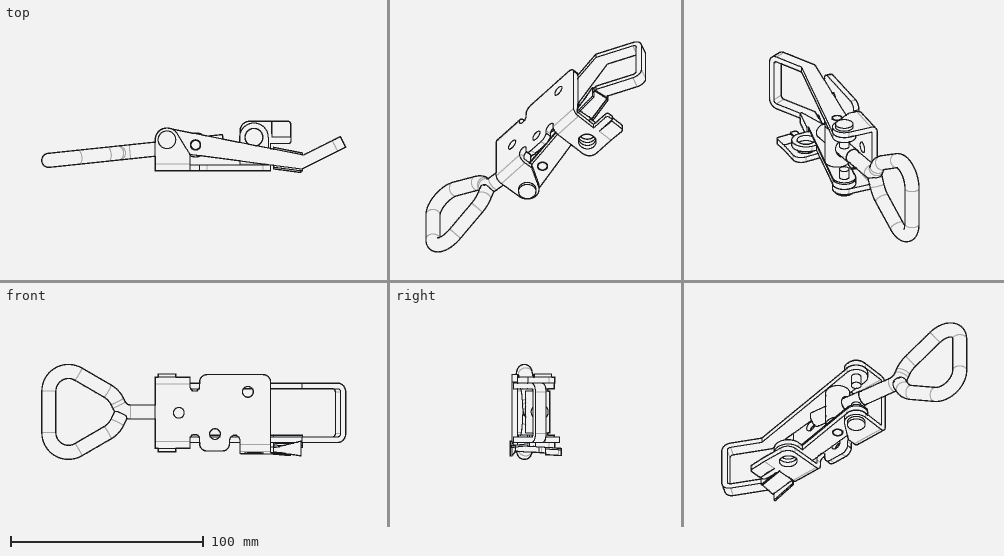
import cadquery as cq
import math


SHEET = 3.0
PIVOT_Y = 16.1
PIN_RADIUS = 2.5
PIN_LENGTH = 11.7
PIN_HEAD_RADIUS = 4.6
PIN_HEAD_HEIGHT = 1.7

REACH = 79.0

EAR_RADIUS = 6.2
EAR_LENGTH = 18.2
EAR_HALF_WIDTH = 18.5
EAR_SHOULDER_Y = 8.4
BASE_LENGTH = 60.0
BASE_HALF_WIDTH = 19.9
BEND_RADIUS = 3.6
PLATE_CORNER = 4.0
NOTCH_WIDTH = 4.9
NOTCH_FLOOR_Z = 11.2
TAB_NOTCH_WIDTH = 5.4
TAB_NOTCH_FLOOR_Z = 11.7
LOBE_LENGTH = 15.6
SCREW_RADIUS = 2.76
SCREW_HOLES = [(6.2, 0.0), (25.0, -11.0), (42.0, 10.9)]
BASE_START = -EAR_RADIUS
EAR_END = BASE_START + EAR_LENGTH
BASE_END = BASE_START + BASE_LENGTH
LOBE_START = EAR_END + NOTCH_WIDTH
LOBE_END = LOBE_START + LOBE_LENGTH
TAB_START = LOBE_END + TAB_NOTCH_WIDTH

TAB_BEND_ANGLE = 86.5
TAB_FOOT_Z = -16.5
TAB_TOP_Y = 25.7
TAB_CORNER = 5.0
TAB_ARM_LENGTH = 10.6
TAB_ARM_BOTTOM_Y = 14.0
TAB_ARM_CORNER = 1.5
FLAP_BOTTOM_Y = 17.5
FLAP_OFFSET = 0.6
FLAP_ANGLE = 5.0

EYE_X = 45.2
EYE_Y = 17.4
EYE_RADIUS = 4.6
LUG_RADIUS = 7.5

LEVER_END_RADIUS = 6.0
LEVER_HALF_WIDTH = EAR_HALF_WIDTH - SHEET
KNEE_TOP = (70.9, 8.2)
KNEE_BOTTOM = (70.1, 0.87)
HANDLE_ANGLE = 26.6
HANDLE_LENGTH = 25.5
HANDLE_CORNER = 4.7
HANDLE_INNER_CORNER = 1.7

BARREL_X = 14.8
BARREL_Y = 13.5
ROD_Z = 0.5
BARREL_RADIUS = 6.3
BARREL_LENGTH = 21.6
JOURNAL_RADIUS = 2.4
JOURNAL_HOLE_RADIUS = 2.7
COUNTERSINK_RADIUS = 5.2
COUNTERSINK_HALF_ANGLE = 45.0

ROD_RADIUS = 3.71
STUD_RADIUS = 4.0
STUD_START = -15.8
ROD_TILT = 6.0
STUD_END = 14.5
LOOP_REACH = 76.6
LOOP_STRAIGHT = 21.5
LOOP_CORNER = 10.3
LOOP_SLOPE = 30.0
NECK_REACH = 38.2
NECK_SLOPE = 64.0
LOWER_NECK_GAP = 1.0
NECK_OUTER_BEND = 12.6
NECK_INNER_BEND = 6.3

CATCH_SHEET = 1.0
CATCH_START = 55.5
CATCH_END = 70.5
WING_END = 69.7
SLANT_START_Y = 3.5
LEG_TOP_Y = 14.0
LEG_LEAN = 1.7
WING_ROOT_TOP_Z = -18.2
WING_ROOT_Z = -20.2
WING_TIP_TOP_Z = -14.7
WING_TIP_Z = -22.5


def tangent_point(center, radius, point, side):
    """Point where a line from `point` touches a circle; side is +1 or -1."""
    dx = point[0] - center[0]
    dy = point[1] - center[1]
    angle = math.atan2(dy, dx) + side * math.acos(radius / math.hypot(dx, dy))
    return (center[0] + radius * math.cos(angle), center[1] + radius * math.sin(angle))


def cylinder(x, y, radius, z_low, z_high):
    return cq.Workplane("XY", origin=(x, y, z_low)).circle(radius).extrude(z_high - z_low)


def block(x_range, y_range, z_range):
    size = [high - low for low, high in (x_range, y_range, z_range)]
    corner = (x_range[0], y_range[0], z_range[0])
    return cq.Workplane("XY", origin=corner).box(*size, centered=False)


def base_plate():
    plate = block((LOBE_START, BASE_END), (0, SHEET), (0, BASE_HALF_WIDTH))
    plate = plate.edges("|Y and >Z").fillet(PLATE_CORNER)
    lobe = block((LOBE_START, LOBE_END), (0, SHEET), (-BASE_HALF_WIDTH, 0))
    lobe = lobe.edges("|Y and <Z").fillet(PLATE_CORNER)
    bridge = block((EAR_END, BASE_END), (0, SHEET), (TAB_FOOT_Z, NOTCH_FLOOR_Z + NOTCH_WIDTH))
    plate = plate.union(lobe).union(bridge)
    notches = [
        (EAR_END, NOTCH_WIDTH, 1, NOTCH_FLOOR_Z),
        (EAR_END, NOTCH_WIDTH, -1, NOTCH_FLOOR_Z),
        (LOBE_END, TAB_NOTCH_WIDTH, -1, TAB_NOTCH_FLOOR_Z),
    ]
    for start, width, side, floor in notches:
        length = BASE_HALF_WIDTH
        center = (start + width / 2, 0, side * (floor + length / 2))
        slot = cq.Workplane("XZ", origin=center).slot2D(length, width, 90).extrude(-SHEET)
        plate = plate.cut(slot)
    return plate


def ear_channel():
    half = EAR_HALF_WIDTH
    inner = half - SHEET
    channel = block((BASE_START, EAR_END), (0, PIVOT_Y + EAR_RADIUS), (-half, half))
    channel = channel.edges("|X and <Y").fillet(BEND_RADIUS)
    hollow = block((BASE_START, EAR_END), (SHEET, PIVOT_Y + EAR_RADIUS), (-inner, inner))
    channel = channel.cut(hollow.edges("|X and <Y").fillet(BEND_RADIUS - SHEET))
    shoulder = (EAR_END, EAR_SHOULDER_Y)
    touch = tangent_point((0, PIVOT_Y), EAR_RADIUS, shoulder, 1)
    profile = (
        cq.Workplane("XY", origin=(0, 0, -half))
        .moveTo(BASE_START, 0)
        .lineTo(EAR_END, 0)
        .lineTo(*shoulder)
        .lineTo(*touch)
        .threePointArc((0, PIVOT_Y + EAR_RADIUS), (BASE_START, PIVOT_Y))
        .close()
        .extrude(2 * half)
    )
    return channel.intersect(profile)


def locking_tab():
    angle = math.radians(TAB_BEND_ANGLE)
    half_angle = angle / 2
    inner_radius = BEND_RADIUS - SHEET

    def bend(radius, turn):
        return (BEND_RADIUS - radius * math.cos(turn), TAB_FOOT_Z - radius * math.sin(turn))

    leg_y = TAB_TOP_Y * math.sin(angle)
    leg_z = -TAB_TOP_Y * math.cos(angle)
    outer_end = bend(BEND_RADIUS, angle)
    inner_end = bend(inner_radius, angle)
    arm_end = BASE_END + TAB_ARM_LENGTH
    sheet = (
        cq.Workplane("YZ", origin=(TAB_START, 0, 0))
        .moveTo(0, TAB_FOOT_Z)
        .threePointArc(bend(BEND_RADIUS, half_angle), outer_end)
        .lineTo(outer_end[0] + leg_y, outer_end[1] + leg_z)
        .lineTo(inner_end[0] + leg_y, inner_end[1] + leg_z)
        .lineTo(*inner_end)
        .threePointArc(bend(inner_radius, half_angle), (SHEET, TAB_FOOT_Z))
        .close()
        .extrude(arm_end - TAB_START)
    )
    depth = (-2 * BASE_HALF_WIDTH, 0)
    outline = block((TAB_START, BASE_END), (0, TAB_TOP_Y), depth)
    outline = outline.edges("|Z and <X and >Y").fillet(TAB_CORNER)
    arm = block((EYE_X, arm_end), (TAB_ARM_BOTTOM_Y, TAB_TOP_Y), depth)
    arm = arm.edges("|Z and >X").fillet(TAB_ARM_CORNER)
    eye = cylinder(EYE_X, EYE_Y, EYE_RADIUS, *depth)
    tab = sheet.intersect(outline.union(arm)).cut(eye)
    crease_x = BASE_END + FLAP_OFFSET
    flap_area = block((crease_x, arm_end), (FLAP_BOTTOM_Y, TAB_TOP_Y), depth)
    crease = (crease_x, 0, inner_end[1])
    crease_top = (crease_x, TAB_TOP_Y, inner_end[1])
    flap = tab.intersect(flap_area).rotate(crease, crease_top, FLAP_ANGLE)
    return tab.cut(flap_area).union(flap)


def make_base():
    body = base_plate().union(ear_channel()).union(locking_tab())
    for x, z in SCREW_HOLES:
        hole = cq.Workplane("XZ", origin=(x, 0, z)).circle(SCREW_RADIUS).extrude(-SHEET)
        body = body.cut(hole)
    return body.cut(cylinder(0, PIVOT_Y, PIN_RADIUS, -EAR_HALF_WIDTH, EAR_HALF_WIDTH))


def handle_tip():
    """Lower and upper corner of the handle tip, which is square to the handle."""
    angle = math.radians(HANDLE_ANGLE)
    along = (math.cos(angle), math.sin(angle))
    across = (-math.sin(angle), math.cos(angle))
    knee = (KNEE_TOP[0] - KNEE_BOTTOM[0], KNEE_TOP[1] - KNEE_BOTTOM[1])
    width = knee[0] * across[0] + knee[1] * across[1]
    lower = (KNEE_BOTTOM[0] + HANDLE_LENGTH * along[0], KNEE_BOTTOM[1] + HANDLE_LENGTH * along[1])
    return lower, (lower[0] + width * across[0], lower[1] + width * across[1])


def lever_outline(z_low, z_high):
    pivot = (0, PIVOT_Y)
    top_touch = tangent_point(pivot, LEVER_END_RADIUS, KNEE_TOP, 1)
    bottom_touch = tangent_point(pivot, LEVER_END_RADIUS, KNEE_BOTTOM, -1)
    tip_bottom, tip_top = handle_tip()
    return (
        cq.Workplane("XY", origin=(0, 0, z_low))
        .moveTo(*bottom_touch)
        .lineTo(*KNEE_BOTTOM)
        .lineTo(*tip_bottom)
        .lineTo(*tip_top)
        .lineTo(*KNEE_TOP)
        .lineTo(*top_touch)
        .threePointArc((-LEVER_END_RADIUS, PIVOT_Y), bottom_touch)
        .close()
        .extrude(z_high - z_low)
    )


def handle_opening(half_width):
    """Space between the straps: straight up to the knee, then along the handle to its crossbar."""
    length = HANDLE_LENGTH - SHEET
    along_handle = block((-REACH, length), (-REACH, REACH), (-half_width, half_width))
    along_handle = along_handle.edges("|Y and >X").fillet(HANDLE_INNER_CORNER)
    along_handle = along_handle.rotate((0, 0, 0), (0, 0, 1), HANDLE_ANGLE).translate((*KNEE_BOTTOM, 0))
    straight = block((-REACH, KNEE_BOTTOM[0]), (-REACH, REACH), (-half_width, half_width))
    return along_handle.union(straight)


def make_lever():
    half = LEVER_HALF_WIDTH
    inner = half - SHEET
    strap = lever_outline(-half, half)
    tip_bottom, tip_top = handle_tip()
    tip_middle = ((tip_bottom[0] + tip_top[0]) / 2, (tip_bottom[1] + tip_top[1]) / 2)
    for z in (-half, half):
        tip_edge = cq.selectors.NearestToPointSelector((*tip_middle, z))
        strap = strap.edges(tip_edge).fillet(HANDLE_CORNER)
    strap = strap.cut(handle_opening(inner))
    foot = PIVOT_Y - LEVER_END_RADIUS
    lug = block((EYE_X - LUG_RADIUS, EYE_X + LUG_RADIUS), (foot, EYE_Y), (-half, -inner))
    lug = lug.union(cylinder(EYE_X, EYE_Y, LUG_RADIUS, -half, -inner))
    strap = strap.union(lug).cut(cylinder(EYE_X, EYE_Y, EYE_RADIUS, -half, -inner))
    strap = strap.cut(cylinder(0, PIVOT_Y, PIN_RADIUS, -half, half))
    return strap.cut(cylinder(BARREL_X, BARREL_Y, JOURNAL_HOLE_RADIUS, -half, half))


def make_pivot_pin(side):
    head_top = EAR_HALF_WIDTH + PIN_HEAD_HEIGHT
    pin = cylinder(0, PIVOT_Y, PIN_HEAD_RADIUS, EAR_HALF_WIDTH, head_top)
    pin = pin.union(cylinder(0, PIVOT_Y, PIN_RADIUS, EAR_HALF_WIDTH - PIN_LENGTH, EAR_HALF_WIDTH))
    return pin if side > 0 else pin.mirror("XY")


def rod_plane():
    tilt = math.radians(ROD_TILT)
    return cq.Plane(
        origin=(BARREL_X, BARREL_Y, ROD_Z),
        xDir=(math.cos(tilt), math.sin(tilt), 0),
        normal=(math.sin(tilt), -math.cos(tilt), 0),
    )


def rounded_path(points, radii):
    """Polyline in the rod plane whose inner corners are rounded with the given radii."""
    path = cq.Workplane(rod_plane()).moveTo(*points[0])
    for before, corner, after, radius in zip(points, points[1:], points[2:], radii):
        start = cq.Vector(*before).sub(cq.Vector(*corner)).normalized()
        end = cq.Vector(*after).sub(cq.Vector(*corner)).normalized()
        half_angle = start.getAngle(end) / 2
        setback = radius / math.tan(half_angle)
        to_arc = radius / math.sin(half_angle) - radius
        apex = cq.Vector(*corner).add(start.add(end).normalized().multiply(to_arc))
        entry = cq.Vector(*corner).add(start.multiply(setback))
        leave = cq.Vector(*corner).add(end.multiply(setback))
        path = path.lineTo(entry.x, entry.y).threePointArc((apex.x, apex.y), (leave.x, leave.y))
    return path.lineTo(*points[-1])


def bent_bar(points, radii):
    """Round bar along a rounded path that sets off along Z."""
    start = rod_plane().toWorldCoords(points[0])
    profile = cq.Workplane("XY", origin=start.toTuple()).circle(ROD_RADIUS)
    return profile.sweep(rounded_path(points, radii))


def make_eye_rod():
    slope = math.tan(math.radians(LOOP_SLOPE))
    neck = math.tan(math.radians(NECK_SLOPE))
    corner_turn = math.radians(180 - 2 * LOOP_SLOPE)
    corner_height = LOOP_STRAIGHT / 2 + LOOP_CORNER * math.tan(corner_turn / 2)
    shoulder_run = (corner_height - slope * LOOP_REACH + slope * NECK_REACH) / (neck - slope)
    shoulder_height = neck * shoulder_run
    left = -LOOP_REACH
    shoulder = -NECK_REACH - shoulder_run
    radii = [LOOP_CORNER, NECK_OUTER_BEND, NECK_INNER_BEND]
    upper = [(left, 0), (left, corner_height), (shoulder, shoulder_height), (-NECK_REACH, 0), (STUD_START, 0)]
    butt = (-NECK_REACH - LOWER_NECK_GAP / neck, -LOWER_NECK_GAP)
    lower = [(left, 0), (left, -corner_height), (shoulder, -shoulder_height), butt]
    return bent_bar(upper, radii).union(bent_bar(lower, radii))


def stud_section(start):
    """Workplane square to the rod line, at a distance from the barrel axis."""
    return cq.Workplane(rod_plane()).transformed(offset=(start, 0, 0), rotate=(0, 90, 0))


def make_stud():
    return stud_section(STUD_START).circle(STUD_RADIUS).extrude(STUD_END - STUD_START)


def make_barrel():
    low = ROD_Z - BARREL_LENGTH / 2
    high = ROD_Z + BARREL_LENGTH / 2
    barrel = cylinder(BARREL_X, BARREL_Y, BARREL_RADIUS, low, high)
    barrel = barrel.union(
        cylinder(BARREL_X, BARREL_Y, JOURNAL_RADIUS, -LEVER_HALF_WIDTH, LEVER_HALF_WIDTH)
    )
    bore = stud_section(STUD_START).circle(STUD_RADIUS).extrude(STUD_END - STUD_START)
    depth = (COUNTERSINK_RADIUS - STUD_RADIUS) / math.tan(math.radians(COUNTERSINK_HALF_ANGLE))
    countersink = stud_section(-BARREL_RADIUS).circle(COUNTERSINK_RADIUS)
    countersink = countersink.extrude(depth, taper=COUNTERSINK_HALF_ANGLE)
    return barrel.cut(bore).cut(countersink)


def edge_strip(touch, knee, from_edge, z_low, z_high):
    """Strip along one straight lever edge, between two distances above that edge."""
    slope = (knee[1] - touch[1]) / (knee[0] - touch[0])
    start_y = knee[1] + slope * (CATCH_START - knee[0])
    end_y = knee[1] + slope * (CATCH_END - knee[0])
    near, far = from_edge
    return (
        cq.Workplane("XY", origin=(0, 0, z_low))
        .moveTo(CATCH_START, start_y + near)
        .lineTo(CATCH_END, end_y + near)
        .lineTo(CATCH_END, end_y + far)
        .lineTo(CATCH_START, start_y + far)
        .close()
        .extrude(z_high - z_low)
    )


def catch_plate(z_low, z_high):
    """Inner plate, as wide as the lever, whose end is cut along a slant up to the knee."""
    plate = lever_outline(z_low, z_high)
    kept = (
        cq.Workplane("XY", origin=(0, 0, z_low))
        .moveTo(-EAR_RADIUS, 0)
        .lineTo(CATCH_START, 0)
        .lineTo(CATCH_START, SLANT_START_Y)
        .lineTo(CATCH_END, KNEE_TOP[1])
        .lineTo(CATCH_END, REACH)
        .lineTo(-EAR_RADIUS, REACH)
        .close()
        .extrude(z_high - z_low)
    )
    plate = plate.intersect(kept).cut(cylinder(0, PIVOT_Y, PIN_RADIUS, z_low, z_high))
    return plate.cut(cylinder(BARREL_X, BARREL_Y, JOURNAL_HOLE_RADIUS, z_low, z_high))


def catch_leg(top_touch, bottom_touch):
    """Outer leg, which hangs from the lip and leans away from the lever strap."""
    bottom_y = -2 * CATCH_SHEET
    face = -LEVER_HALF_WIDTH
    leaning_sheet = (
        cq.Workplane("YZ", origin=(CATCH_START, 0, 0))
        .moveTo(LEG_TOP_Y, face)
        .lineTo(bottom_y, face - LEG_LEAN)
        .lineTo(bottom_y, face - LEG_LEAN - CATCH_SHEET)
        .lineTo(LEG_TOP_Y, face - CATCH_SHEET)
        .close()
        .extrude(CATCH_END - CATCH_START)
    )
    above = edge_strip(bottom_touch, KNEE_BOTTOM, (-CATCH_SHEET, REACH), WING_TIP_Z, 0)
    below = edge_strip(top_touch, KNEE_TOP, (-REACH, CATCH_SHEET), WING_TIP_Z, 0)
    return leaning_sheet.intersect(above).intersect(below)


def catch_wing(bottom_touch):
    """Finger grip below the leg, widening towards the handle."""
    strip = edge_strip(bottom_touch, KNEE_BOTTOM, (-2 * CATCH_SHEET, -CATCH_SHEET), WING_TIP_Z, 0)
    outline = (
        cq.Workplane("XZ")
        .moveTo(CATCH_START, WING_ROOT_TOP_Z)
        .lineTo(WING_END, WING_TIP_TOP_Z)
        .lineTo(WING_END, WING_TIP_Z)
        .lineTo(CATCH_START, WING_ROOT_Z)
        .close()
        .extrude(REACH, both=True)
    )
    return strip.intersect(outline)


def make_catch():
    bottom = -(LEVER_HALF_WIDTH - SHEET)
    top = bottom + CATCH_SHEET
    pivot = (0, PIVOT_Y)
    top_touch = tangent_point(pivot, LEVER_END_RADIUS, KNEE_TOP, 1)
    bottom_touch = tangent_point(pivot, LEVER_END_RADIUS, KNEE_BOTTOM, -1)
    lip_bottom = -LEVER_HALF_WIDTH - 2 * CATCH_SHEET
    lip = edge_strip(top_touch, KNEE_TOP, (0, CATCH_SHEET), lip_bottom, top)
    leg = catch_leg(top_touch, bottom_touch)
    return catch_plate(bottom, top).union(lip).union(leg).union(catch_wing(bottom_touch))


base = make_base()
lever = make_lever()
eye_rod = make_eye_rod()
stud = make_stud()
barrel = make_barrel()
catch = make_catch()
pivot_pins = [make_pivot_pin(side) for side in (1, -1)]

result = cq.Compound.makeCompound(
    [
        base.val(),
        lever.val(),
        eye_rod.val(),
        stud.val(),
        barrel.val(),
        catch.val(),
        *[pin.val() for pin in pivot_pins],
    ]
)